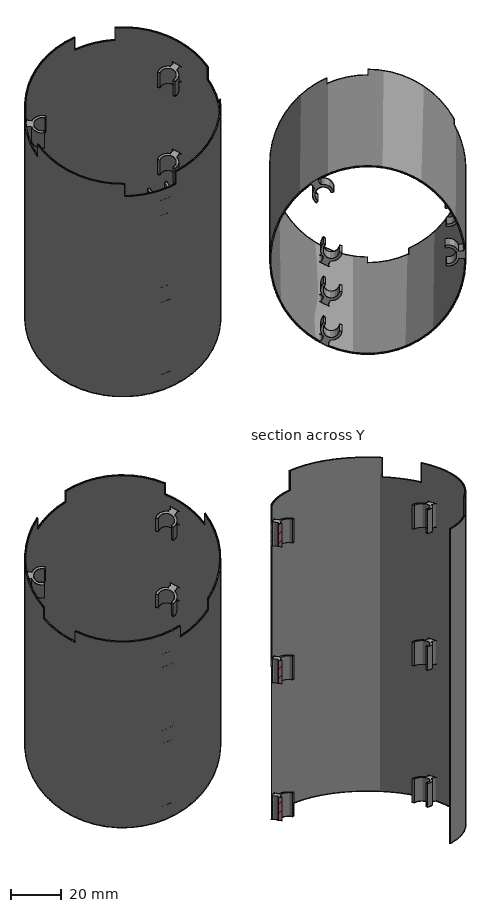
import cadquery as cq
import math

height = 140.0
outer_diameter = 77.2
wall = 0.5
outer_radius = outer_diameter / 2
inner_radius = outer_radius - wall

notch_depth = 8.1
notch_width = 16.5
wide_notch_width = 21.0
notch_widths = {0: wide_notch_width, 90: notch_width, 180: notch_width, 270: notch_width}

first_clip_angle = 9
clip_columns = 3
clip_rows = 3
clip_pitch = 57.4
clip_height = 10.0

ring_centre_distance = 31.8
ring_bore_radius = 3.2
ring_thickness = 1.05
ring_outer_radius = ring_bore_radius + ring_thickness
ring_half_angle = 107
stem_width = 3.1
stem_flare = 0.7
stem_embed = 0.1


def make_tube():
    return cq.Workplane("XY").circle(outer_radius).circle(inner_radius).extrude(height)


def make_notch(angle, width):
    """Cutter that opens the rim on one side of the tube."""
    return (
        cq.Workplane("XY", origin=(0, 0, height - notch_depth))
        .center(outer_radius, 0)
        .rect(outer_radius, width)
        .extrude(notch_depth)
        .rotate((0, 0, 0), (0, 0, 1), angle)
    )


def ring_point(radius, angle):
    """Point on a circle about the ring centre; angle 0 faces the wall."""
    turn = math.radians(angle)
    return (ring_centre_distance + radius * math.cos(turn), radius * math.sin(turn))


def make_ring():
    """Open ring with its mouth towards the tube axis."""
    return (
        cq.Workplane("XY")
        .moveTo(*ring_point(ring_outer_radius, -ring_half_angle))
        .threePointArc(ring_point(ring_outer_radius, 0), ring_point(ring_outer_radius, ring_half_angle))
        .lineTo(*ring_point(ring_bore_radius, ring_half_angle))
        .threePointArc(ring_point(ring_bore_radius, 0), ring_point(ring_bore_radius, -ring_half_angle))
        .close()
        .extrude(clip_height)
    )


def make_stem():
    """Bridge from the ring to the wall, with a concave flare on both sides at the wall."""
    start = ring_centre_distance + ring_bore_radius + ring_thickness / 2
    half_width = stem_width / 2
    foot_half_width = half_width + stem_flare
    foot = math.sqrt(inner_radius**2 - foot_half_width**2)
    end = inner_radius + stem_embed
    block = (
        cq.Workplane("XY")
        .moveTo(start, -half_width)
        .lineTo(foot - stem_flare, -half_width)
        .radiusArc((foot, -foot_half_width), stem_flare)
        .lineTo(end, -foot_half_width)
        .lineTo(end, foot_half_width)
        .lineTo(foot, foot_half_width)
        .radiusArc((foot - stem_flare, half_width), stem_flare)
        .lineTo(start, half_width)
        .close()
        .extrude(clip_height)
    )
    foot_limit = cq.Workplane("XY").circle(end).extrude(clip_height)
    return block.intersect(foot_limit)


result = make_tube()
for angle, width in notch_widths.items():
    result = result.cut(make_notch(angle, width))

clip = make_ring().union(make_stem())
for column in range(clip_columns):
    angle = first_clip_angle + column * 360 / clip_columns
    turned_clip = clip.rotate((0, 0, 0), (0, 0, 1), angle)
    for row in range(clip_rows):
        result = result.union(turned_clip.translate((0, 0, row * clip_pitch)))